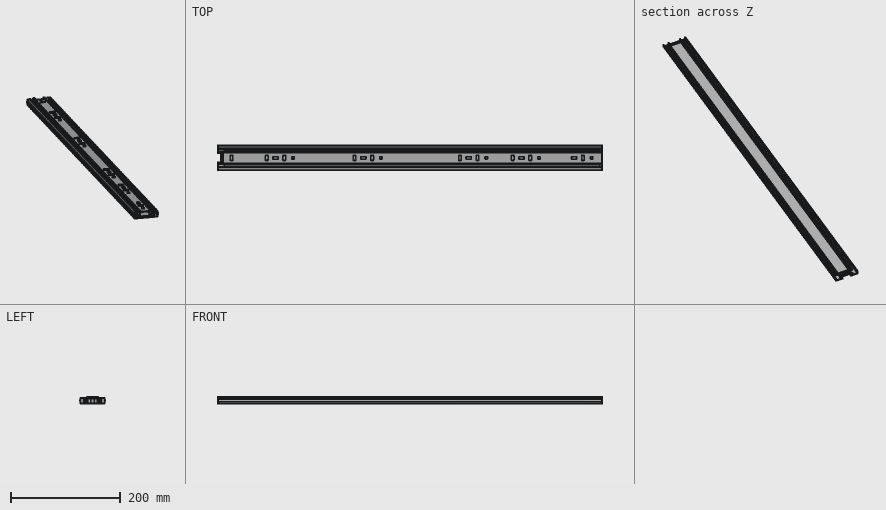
import cadquery as cq
import math

slide_length = 700.0
slide_height = 12.7
sheet = 1.2

rail_width = 45.7
rail_height = 11.5
groove_bulge = 0.55
groove_radius = 5.75
groove_centre_z = 5.85
bend_radius = 2.0
lip_gap = 34.2

cage_start = 11.5
cage_end = slide_length - 4.5
cage_web_thickness = 1.1
cage_upright_thickness = 1.9
cage_top = 11.1

inner_width = 24.0
inner_chamfer = 2.0
inner_bottom = sheet + cage_web_thickness

notch_width = 16.8
rail_notch_depth = 5.2
inner_notch_depth = 9.6

lobe_count = 3
lobe_pitch = 6.3
lobe_radius = 3.2
bumper_start = 6.5
bumper_end = cage_start
bumper_top = 9.6

pitch = 32.0
first_slot = 25.0
slot_width = 5.0
slot_length = 10.0
round_hole_diameter = 4.8
group_steps = [2, 7, 13, 16, 19]
last_step = group_steps[-1]


def bar(width, bottom, top, start=0.0, end=slide_length):
    """Rectangular bar along X, centred on Y."""
    block = cq.Workplane("XY").box(end - start, width, top - bottom, centered=(False, True, False))
    return block.translate((start, 0, bottom))


def rail_form(inset):
    """Rounded bar with a bulge along each side, every surface moved inwards by the inset."""
    wall_spread = rail_width - 2 * groove_bulge
    form = bar(wall_spread - 2 * inset, inset, rail_height - inset)
    form = form.edges("|X").fillet(bend_radius - inset)
    groove_centre_y = rail_width / 2 - groove_radius
    for side in (-1, 1):
        bulge = (
            cq.Workplane("YZ")
            .center(side * groove_centre_y, groove_centre_z)
            .circle(groove_radius - inset)
            .extrude(slide_length)
        )
        form = form.union(bulge)
    return form


def make_rail():
    rail = rail_form(0).cut(rail_form(sheet))
    mouth = bar(lip_gap, rail_height / 2, rail_height)
    notch = bar(notch_width, 0, sheet, 0, rail_notch_depth)
    return rail.cut(mouth).cut(notch)


def make_cage():
    outside = bar(lip_gap, sheet, cage_top, cage_start, cage_end)
    channel_width = lip_gap - 2 * cage_upright_thickness
    channel = bar(channel_width, inner_bottom, cage_top, cage_start, cage_end)
    return outside.cut(channel)


def make_bumper():
    lobe_centre_x = bumper_start + lobe_radius
    bumper = bar(lobe_count * lobe_pitch, sheet, bumper_top, lobe_centre_x, bumper_end)
    for i in range(lobe_count):
        lobe_y = (i - (lobe_count - 1) / 2) * lobe_pitch
        lobe = cq.Workplane("XY").center(lobe_centre_x, lobe_y).circle(lobe_radius)
        lobe = lobe.extrude(bumper_top - sheet).translate((0, 0, sheet))
        bumper = bumper.union(lobe)
    behind_bumper = bar(lip_gap, sheet, bumper_top, bumper_end, slide_length)
    return bumper.cut(behind_bumper)


def mounting_slot(x, angle):
    return cq.Workplane("XY").center(x, 0).slot2D(slot_length, slot_width, angle).extrude(slide_height)


def mounting_holes():
    """Cutters for all the mounting holes, reaching from the floor up through the inner web."""
    holes = mounting_slot(first_slot, 90)
    for step in group_steps:
        lead_x = first_slot + step * pitch
        if step != last_step:
            holes = holes.union(mounting_slot(lead_x, 90))
        holes = holes.union(mounting_slot(lead_x + pitch / 2, 0))
        holes = holes.union(mounting_slot(lead_x + pitch, 90))
        round_hole = cq.Workplane("XY").center(lead_x + 1.5 * pitch, 0).circle(round_hole_diameter / 2)
        holes = holes.union(round_hole.extrude(slide_height))
    return holes


def make_inner():
    web_underside = slide_height - sheet
    hat = bar(inner_width, inner_bottom, slide_height).edges("|X and >Z").chamfer(inner_chamfer)
    channel = bar(inner_width - 2 * sheet, inner_bottom, web_underside)
    inside_chamfer = inner_chamfer - (2 - math.sqrt(2)) * sheet
    channel = channel.edges("|X and >Z").chamfer(inside_chamfer)
    notch = bar(notch_width, web_underside, slide_height, 0, inner_notch_depth)
    return hat.cut(channel).cut(notch).cut(mounting_holes())


rail = make_rail()
cage = make_cage()
bumper = make_bumper()
inner = make_inner()

result = cq.Compound.makeCompound([rail.val(), cage.val(), bumper.val(), inner.val()])